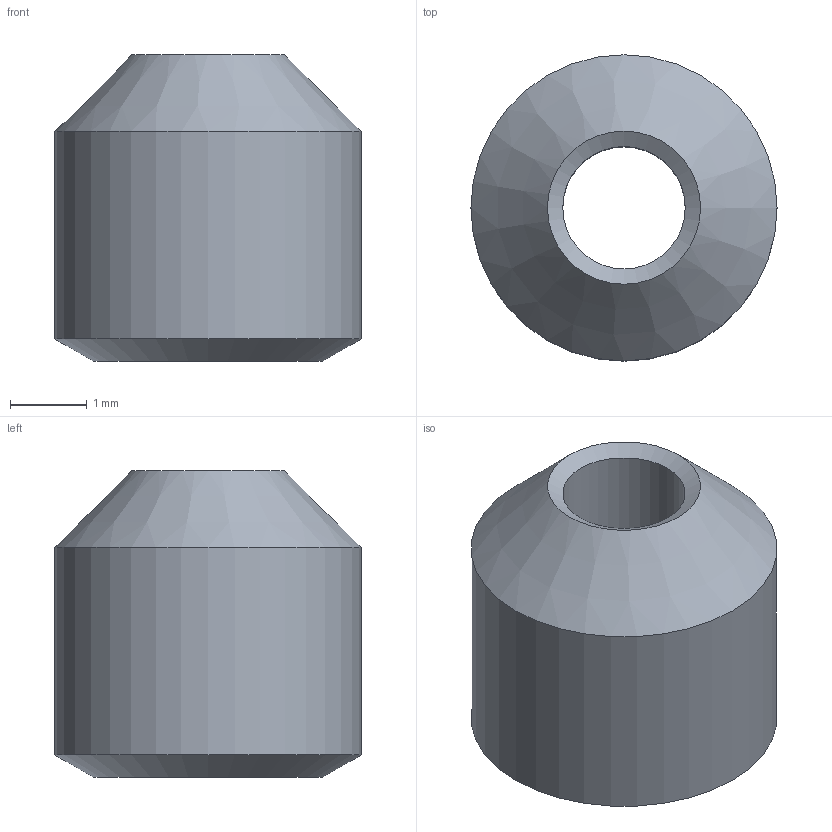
import cadquery as cq
import math

outer_diameter = 4.0
height = 4.0
bore_diameter = 1.6
top_edge_diameter = 2.0
bottom_face_diameter = 3.0
nose_angle = 45.0
shallow_angle = 30.0

outer_radius = outer_diameter / 2
bore_radius = bore_diameter / 2
top_edge_radius = top_edge_diameter / 2
bottom_face_radius = bottom_face_diameter / 2


def cone_height(large_radius, small_radius, angle):
    """Axial height of a cone between two radii, sloped at angle from horizontal."""
    return (large_radius - small_radius) * math.tan(math.radians(angle))


nose_height = cone_height(outer_radius, top_edge_radius, nose_angle)
countersink_depth = cone_height(top_edge_radius, bore_radius, shallow_angle)
chamfer_height = cone_height(outer_radius, bottom_face_radius, shallow_angle)


def make_bushing():
    """Revolve the half section, drawn as (radius, height), about the Z axis."""
    half_section = [
        (bore_radius, 0),
        (bottom_face_radius, 0),
        (outer_radius, chamfer_height),
        (outer_radius, height - nose_height),
        (top_edge_radius, height),
        (bore_radius, height - countersink_depth),
    ]
    axis_start = (0, 0)
    axis_end = (0, 1)
    return cq.Workplane("XZ").polyline(half_section).close().revolve(360, axis_start, axis_end)


result = make_bushing()